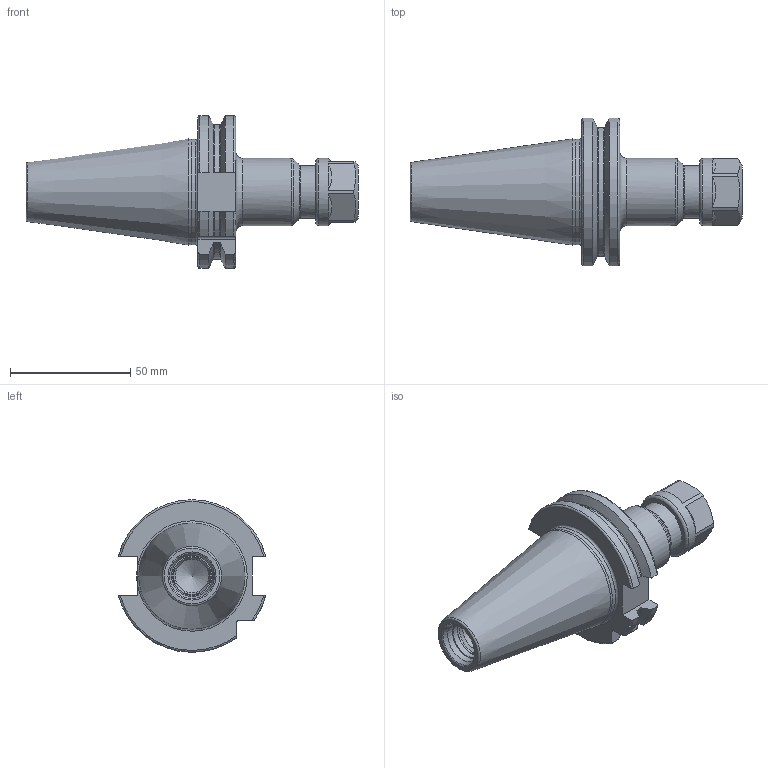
import cadquery as cq
import math


gauge_radius = 44.45 / 2
taper_length = 68.4
taper_slope = 7 / 48
small_end_radius = gauge_radius - taper_length * taper_slope
small_end_fillet = 0.8
taper_end = -0.85

relief_radius = 22.0
relief_start = 0.35
relief_fillet = 1.0

flange_back = 3.2
flange_front = 18.9
flange_radius = 63.55 / 2
flange_fillet = 0.8
groove_center = 11.1
groove_width = 7.0
groove_floor_radius = 27.95
groove_half_angle = 28
groove_fillet = 0.5

slot_width = 16.1
shallow_slot_floor = 25.0
deep_slot_floor = 22.6
notch_offset = 18.5
notch_fillet = 1.2

body_radius = 14.0
body_root_fillet = 3.0
body_end = 42.6
body_edge_fillet = 1.2
neck_radius = 11.0
neck_fillet = 0.8

nut_back = 52.2
nut_front = 138.25 - taper_length
nut_radius = 14.0
nut_edge_fillet = 1.2
hexagon_start = 57.5
hexagon_width = 25.0
nut_nose_radius = 11.0
nose_angle = 30

bore_mouth_radius = 10.0
center_cone_radius = 9.4
center_cone_start = 0.35
pilot_radius = 8.5
pilot_start = 2.2
pilot_end = 5.0
thread_radius = 8.0
thread_end = 7.4
relief_bore_radius = 7.7
relief_bore_end = 8.3
core_radius = 7.0
core_start = 9.6
core_end = 28.0
drill_tip_angle = 118


def revolve_about_x(profile):
    """Turn a closed (x, radius) profile about the X axis."""
    return profile.close().revolve(360, (0, 0, 0), (1, 0, 0))


def turned_blank():
    """Taper, relief, flange disc, body and neck as one turned shape."""
    neck_start = body_end + body_radius - neck_radius
    blank = revolve_about_x(
        cq.Workplane("XY")
        .moveTo(-taper_length, 0)
        .lineTo(-taper_length, small_end_radius)
        .lineTo(taper_end, gauge_radius + taper_end * taper_slope)
        .lineTo(relief_start, relief_radius)
        .lineTo(flange_back, relief_radius)
        .lineTo(flange_back, flange_radius)
        .lineTo(flange_front, flange_radius)
        .lineTo(flange_front, body_radius)
        .lineTo(body_end, body_radius)
        .lineTo(neck_start, neck_radius)
        .lineTo(nut_back, neck_radius)
        .lineTo(nut_back, 0)
    )

    def edge_at(x, radius):
        reach = 0.01
        return cq.selectors.BoxSelector(
            (x - reach, -radius - reach, -radius - reach),
            (x + reach, radius + reach, radius + reach),
            boundingbox=True,
        )

    blank = blank.edges(edge_at(-taper_length, small_end_radius)).fillet(small_end_fillet)
    blank = blank.edges(edge_at(flange_back, relief_radius)).fillet(relief_fillet)
    blank = blank.edges(edge_at(flange_front, body_radius)).fillet(body_root_fillet)
    blank = blank.edges(edge_at(body_end, body_radius)).fillet(body_edge_fillet)
    blank = blank.edges(edge_at(neck_start, neck_radius)).fillet(neck_fillet)
    for face_x in (flange_back, flange_front):
        blank = blank.edges(edge_at(face_x, flange_radius)).fillet(flange_fillet)
    return blank


def flange_groove():
    """V-groove ring with a flat floor and rounded floor corners."""
    depth = flange_radius - groove_floor_radius
    floor_width = groove_width - 2 * depth * math.tan(math.radians(groove_half_angle))
    clearance = 1
    outer_radius = flange_radius + clearance
    ring = revolve_about_x(
        cq.Workplane("XY")
        .moveTo(groove_center - floor_width / 2, groove_floor_radius)
        .lineTo(groove_center + floor_width / 2, groove_floor_radius)
        .lineTo(groove_center + groove_width / 2, flange_radius)
        .lineTo(groove_center + groove_width / 2, outer_radius)
        .lineTo(groove_center - groove_width / 2, outer_radius)
        .lineTo(groove_center - groove_width / 2, flange_radius)
    )
    floor_edges = cq.selectors.RadiusNthSelector(0)
    return ring.edges(floor_edges).fillet(groove_fillet)


def flange_block(y_start, y_end, z_start, z_end):
    """Cutter block through the whole flange thickness."""
    return (
        cq.Workplane("XY")
        .box(flange_front - flange_back, y_end - y_start, z_end - z_start, centered=False)
        .translate((flange_back, y_start, z_start))
    )


def drive_slots():
    """Two keyways of unequal depth on the Y axis."""
    shallow = flange_block(-flange_radius, -shallow_slot_floor, -slot_width / 2, slot_width / 2)
    deep = flange_block(deep_slot_floor, flange_radius, -slot_width / 2, slot_width / 2)
    return shallow.union(deep)


def orientation_notch():
    """Square corner notch below the shallow keyway, with a rounded inner corner."""
    notch = flange_block(-flange_radius, -notch_offset, -flange_radius, -notch_offset)
    return notch.edges("|X and >Y and >Z").fillet(notch_fillet)


def pull_stud_bore():
    """Countersunk pilot bore, thread, relief, core drilling and conical drill tip."""
    tip_length = core_radius / math.tan(math.radians(drill_tip_angle / 2))
    bore = revolve_about_x(
        cq.Workplane("XY")
        .lineTo(0, bore_mouth_radius)
        .lineTo(center_cone_start, center_cone_radius)
        .lineTo(pilot_start, pilot_radius)
        .lineTo(pilot_end, pilot_radius)
        .lineTo(pilot_end, thread_radius)
        .lineTo(thread_end, thread_radius)
        .lineTo(thread_end, relief_bore_radius)
        .lineTo(relief_bore_end, relief_bore_radius)
        .lineTo(core_start, core_radius)
        .lineTo(core_end, core_radius)
        .lineTo(core_end + tip_length, 0)
    )
    return bore.translate((-taper_length, 0, 0))


def build_holder():
    holder = turned_blank()
    for cutter in (flange_groove(), drive_slots(), orientation_notch(), pull_stud_bore()):
        holder = holder.cut(cutter)
    return holder


def build_nut():
    """Round collar that runs out through a 45 degree cone into hexagon flats."""
    nose_length = (nut_radius - nut_nose_radius) * math.tan(math.radians(nose_angle))
    blank = revolve_about_x(
        cq.Workplane("XY")
        .moveTo(nut_back, 0)
        .lineTo(nut_back, nut_radius)
        .lineTo(nut_front - nose_length, nut_radius)
        .lineTo(nut_front, nut_nose_radius)
        .lineTo(nut_front, 0)
    )
    blank = blank.faces("<X").edges().fillet(nut_edge_fillet)

    corner_diameter = hexagon_width / math.cos(math.radians(30))
    hexagon = (
        cq.Workplane("YZ", origin=(nut_back, 0, 0))
        .polygon(6, corner_diameter)
        .extrude(nut_front - nut_back)
    )
    cone_base = hexagon_start + nut_radius
    collar = revolve_about_x(
        cq.Workplane("XY")
        .moveTo(nut_back, 0)
        .lineTo(nut_back, nut_radius)
        .lineTo(hexagon_start, nut_radius)
        .lineTo(cone_base, 0)
    )
    return blank.intersect(hexagon.union(collar))


holder = build_holder()
nut = build_nut()
result = cq.Compound.makeCompound([holder.val(), nut.val()])